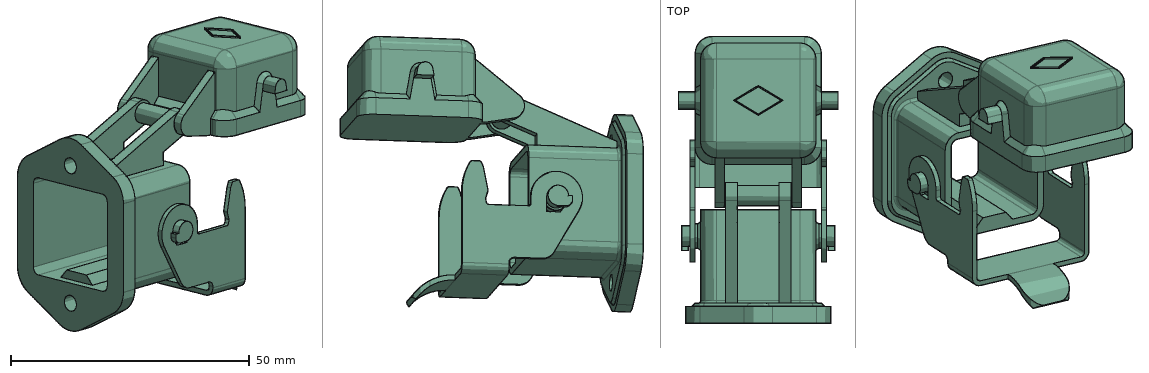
import cadquery as cq
import math


flange_thickness = 3.55
flange_half_width = 15.2
flange_half_height = 21.0
flange_round = 6.0
flange_slope = 30.0
step_height = 0.65
step_inset = 1.3
step_chamfer = 0.6
socket_end = 23.8
socket_width = 24.2
socket_height = 24.05
socket_round = 3.3
socket_foot_fillet = 0.6
opening_size = 21.2
opening_round = 1.45
screw_offset = flange_half_height - flange_round
screw_diameter = 3.4
key_start = 1.9
key_base = 9.0
key_top = 5.65
key_height = 1.9

hinge_y = 26.75
hinge_z = 20.15
arm_radius = 2.75
lid_arm_eye_shift = 0.25
rod_radius = 2.15
socket_arm_inner = 4.4
socket_arm_outer = 6.9
lid_arm_inner = 7.1
lid_arm_outer = 9.1
socket_arm_foot_y = 21.2
socket_arm_foot_z = 14.9
socket_arm_root_z = 13.65
lid_arm_root_z = 30.0
lid_arm_heel_y = 32.65

lid_y = 46.75
lid_bottom = 16.55
lid_top = 34.4
lid_width = socket_width
lid_depth = 24.05
lid_round = 3.35
lid_top_fillet = 3.3
skirt_width = 26.45
skirt_depth = 26.8
skirt_top = 20.1
skirt_round = 3.55
skirt_bevel_height = 2.0
skirt_bevel_width = 1.8
badge_length = 10.4
badge_width = 6.25
badge_rim = 0.55
badge_height = 0.3

lug_radius = 1.6
lug_axis_z = 25.8
lug_side_angle = 10.0
lug_flare = 0.8
lid_pin_bottom = 24.6
lid_pin_span = 33.5
lid_pin_end = lid_pin_span / 2

pivot_y = 18.3
pivot_radius = 2.15
pivot_end = 16.05
boss_radius = 2.6
boss_foot_radius = 3.0
boss_foot_height = 0.6
tab_start = 14.7
tab_reach = 3.05
tab_drop = 2.15
tab_round = 1.3
latch_outer = 14.3
sheet = 1.1
latch_inner = latch_outer - sheet
latch_bend = 2.0
eye_radius = 5.5
latch_back_y = 38.45
bridge_front_y = 28.45
latch_bottom = -16.7
latch_step_z = -13.25
latch_seat_z = -2.1
hook_tip_z = 7.15
hook_tip_back_y = 36.6
hook_tip_front_y = 34.45
hook_back_z = 0.6
hook_shoulder = (33.9, 5.9)
hook_nose = (32.9, 0.85)
hook_throat = (33.45, -0.9)
seat_end_y = 33.2
latch_heel_y = 19.65
latch_heel_fillet = 3.0
latch_step_fillet = 1.2
seat_fillet = 0.55
hook_fillet = 0.5
slot_depth = 3.2
slot_reach = 0.7
slot_lip = 1.5
tongue_bend = 9.9
tongue_angle = 54.0
tongue_half_width = 5.6
tongue_round = 3.6


def tangent_point(point, centre, radius, side):
    """Point where the line from `point` touches a circle; `side` is +1 or -1."""
    dy = point[0] - centre[0]
    dz = point[1] - centre[1]
    angle = math.atan2(dz, dy) - side * math.acos(radius / math.hypot(dy, dz))
    return (centre[0] + radius * math.cos(angle), centre[1] + radius * math.sin(angle))


def side_plane(x):
    """Work plane at constant X whose local axes are Y and Z."""
    return cq.Workplane("YZ", origin=(x, 0, 0))


def rounded_box(width, depth, height, radius, y, z):
    box = cq.Workplane("XY", origin=(0, y, z)).box(width, depth, height, (True, True, False))
    return box.edges("|Z").fillet(radius)


def flange_plate(inset, start, thickness):
    """Hexagonal plate with rounded tips, its outline moved in by `inset`."""
    slope = math.radians(flange_slope)
    half_width = flange_half_width - inset
    radius = flange_round - inset
    apex = screw_offset + radius / math.cos(slope)
    shoulder = apex - half_width * math.tan(slope)
    outline = [
        (0, apex), (half_width, shoulder), (half_width, -shoulder),
        (0, -apex), (-half_width, -shoulder), (-half_width, shoulder),
    ]
    plate = cq.Workplane("XZ", origin=(0, start, 0)).polyline(outline).close().extrude(-thickness)
    return plate.edges("|Y").fillet(radius)


def socket():
    step_face = flange_thickness + step_height
    step = flange_plate(step_inset, flange_thickness, step_height)
    step = step.faces(">Y").edges().chamfer(step_chamfer)
    shell = (
        cq.Workplane("XZ", origin=(0, step_face, 0))
        .rect(socket_width, socket_height)
        .extrude(step_face - socket_end)
        .edges("|Y")
        .fillet(socket_round)
    )
    body = step.union(shell)
    margin = step_height / 10
    half_width = socket_width / 2 + margin
    half_height = socket_height / 2 + margin
    foot = cq.selectors.BoxSelector(
        (-half_width, step_face - margin, -half_height), (half_width, step_face + margin, half_height)
    )
    body = body.edges(foot).fillet(socket_foot_fillet)
    return body.union(flange_plate(0, 0, flange_thickness))


def socket_openings():
    opening = (
        cq.Workplane("XZ")
        .rect(opening_size, opening_size)
        .extrude(-socket_end)
        .edges("|Y")
        .fillet(opening_round)
    )
    screw_holes = (
        cq.Workplane("XZ")
        .pushPoints([(0, screw_offset), (0, -screw_offset)])
        .circle(screw_diameter / 2)
        .extrude(-flange_thickness - step_height)
    )
    return opening.union(screw_holes)


def key():
    """Trapezoidal coding rib along the floor of the opening."""
    floor = -opening_size / 2
    outline = [
        (-key_base / 2, floor), (key_base / 2, floor),
        (key_top / 2, floor + key_height), (-key_top / 2, floor + key_height),
    ]
    return (
        cq.Workplane("XZ", origin=(0, key_start, 0))
        .polyline(outline)
        .close()
        .extrude(key_start - socket_end)
    )


def arm(inner, outer, side, eye_shift, root, heel, base_points):
    """Plate that tapers from a base to the hinge eye; `side` is +1 for a base towards -Y."""
    eye_centre = (hinge_y + eye_shift, hinge_z + eye_shift)
    upper = tangent_point(root, eye_centre, arm_radius, side)
    lower = tangent_point(heel, eye_centre, arm_radius, -side)
    web = side_plane(inner).polyline([eye_centre, upper, root, *base_points, heel, lower]).close()
    eye = side_plane(inner).center(*eye_centre).circle(arm_radius)
    return web.extrude(outer - inner).union(eye.extrude(outer - inner))


def socket_arm():
    root = (flange_thickness, socket_arm_root_z)
    heel = (socket_arm_foot_y, socket_arm_foot_z)
    inside_wall = (socket_height + opening_size) / 4
    base_points = [(flange_thickness, inside_wall), (socket_arm_foot_y, inside_wall)]
    return arm(socket_arm_inner, socket_arm_outer, 1, 0, root, heel, base_points)


def lid_arm():
    lid_front = lid_y - lid_depth / 2
    root = (lid_front, lid_arm_root_z)
    heel = (lid_arm_heel_y, lid_bottom)
    return arm(lid_arm_inner, lid_arm_outer, -1, lid_arm_eye_shift, root, heel, [(lid_front, lid_bottom)])


def hinge_rod():
    return side_plane(-lid_arm_outer).center(hinge_y, hinge_z).circle(rod_radius).extrude(2 * lid_arm_outer)


def lid():
    cap = rounded_box(lid_width, lid_depth, lid_top - badge_height - lid_bottom, lid_round, lid_y, lid_bottom)
    cap = cap.faces(">Z").edges().fillet(lid_top_fillet)
    skirt_height = skirt_top + skirt_bevel_height - lid_bottom
    skirt = rounded_box(skirt_width, skirt_depth, skirt_height, skirt_round, lid_y, lid_bottom)
    skirt = skirt.faces(">Z").edges().chamfer(skirt_bevel_height, skirt_bevel_width)
    return cap.union(skirt)


def badge():
    """Raised diamond-shaped rim on top of the lid."""
    def diamond(length, width):
        outline = [(length / 2, 0), (0, width / 2), (-length / 2, 0), (0, -width / 2)]
        plane = cq.Workplane("XY", origin=(0, lid_y, lid_top - badge_height))
        return plane.polyline(outline).close().extrude(badge_height)

    inner_width = badge_width - badge_rim
    inner_length = inner_width * badge_length / badge_width
    return diamond(badge_length, badge_width).cut(diamond(inner_length, inner_width))


def lug_outline(x):
    """Tapered outline with a round top, standing on the skirt of the lid."""
    slope = math.radians(lug_side_angle)
    half_base = lug_radius / math.cos(slope) + (lug_axis_z - skirt_top) * math.tan(slope)
    half_top = lug_radius * math.cos(slope)
    tangent_z = lug_axis_z + lug_radius * math.sin(slope)
    return (
        side_plane(x)
        .moveTo(lid_y - half_base, skirt_top)
        .lineTo(lid_y - half_top, tangent_z)
        .threePointArc((lid_y, lug_axis_z + lug_radius), (lid_y + half_top, tangent_z))
        .lineTo(lid_y + half_base, skirt_top)
        .close()
    )


def lid_pin():
    lug_face = skirt_width / 2
    lug_depth = (skirt_width - lid_width) / 2
    flare_angle = math.degrees(math.atan(lug_flare / lug_depth))
    lug = lug_outline(lug_face).extrude(-lug_depth, taper=-flare_angle)
    pin = lug_outline(lug_face).extrude(lid_pin_end - lug_face)
    below_pin = (
        side_plane(lug_face)
        .center(lid_y, (skirt_top + lid_pin_bottom) / 2)
        .rect(skirt_depth, lid_pin_bottom - skirt_top)
        .extrude(lid_pin_end - lug_face)
    )
    return lug.union(pin.cut(below_pin))


def pivot_pin():
    wall = socket_width / 2
    pin = side_plane(wall).center(pivot_y, 0).circle(pivot_radius).extrude(pivot_end - wall)
    boss = side_plane(wall).center(pivot_y, 0).circle(boss_radius).extrude(latch_inner - wall)
    flare = math.degrees(math.atan((boss_foot_radius - boss_radius) / boss_foot_height))
    foot = side_plane(wall).center(pivot_y, 0).circle(boss_foot_radius)
    foot = foot.extrude(boss_foot_height, taper=flare)
    tab = (
        side_plane(tab_start)
        .center(pivot_y - tab_reach / 2, -tab_drop / 2)
        .rect(tab_reach, tab_drop)
        .extrude(pivot_end - tab_start)
        .edges("|X and <Y and <Z")
        .fillet(tab_round)
    )
    return pin.union(boss).union(foot).union(tab)


def latch():
    """Bent sheet-metal lever: two side plates joined by a bridge with a finger tongue."""
    heel = (latch_heel_y, latch_step_z)
    eye_edge = pivot_y + eye_radius
    touch = tangent_point(heel, (pivot_y, 0), eye_radius, 1)
    plate = (
        side_plane(-latch_outer)
        .moveTo(latch_back_y, latch_bottom)
        .lineTo(latch_back_y, hook_back_z)
        .tangentArcPoint((hook_tip_back_y, hook_tip_z), relative=False)
        .lineTo(hook_tip_front_y, hook_tip_z)
        .lineTo(*hook_shoulder)
        .lineTo(*hook_nose)
        .lineTo(*hook_throat)
        .lineTo(seat_end_y, latch_seat_z)
        .lineTo(eye_edge, latch_seat_z)
        .lineTo(eye_edge, 0)
        .lineTo(pivot_y, 0)
        .lineTo(*touch)
        .lineTo(*heel)
        .lineTo(bridge_front_y, latch_step_z)
        .lineTo(bridge_front_y, latch_bottom)
        .close()
        .extrude(2 * latch_outer)
    )
    rounded_corners = (
        (hook_tip_back_y, hook_tip_z, hook_fillet),
        (hook_tip_front_y, hook_tip_z, hook_fillet),
        (*hook_nose, hook_fillet),
        (seat_end_y, latch_seat_z, seat_fillet),
        (eye_edge, latch_seat_z, seat_fillet),
        (*heel, latch_heel_fillet),
        (bridge_front_y, latch_step_z, latch_step_fillet),
    )
    for y, z, radius in rounded_corners:
        corner = cq.selectors.NearestToPointSelector((0, y, z))
        plate = plate.edges(corner).fillet(radius)
    plate = plate.faces("<Z").edges("|Y").fillet(latch_bend)
    eye = side_plane(-latch_outer).center(pivot_y, 0).circle(eye_radius).extrude(2 * latch_outer)
    inside = (
        cq.Workplane("XY", origin=(0, latch_back_y, latch_bottom + sheet))
        .box(2 * latch_inner, 2 * latch_back_y, hook_tip_z - latch_bottom, (True, True, False))
        .faces("<Z")
        .edges("|Y")
        .fillet(latch_bend - sheet)
    )
    slot = (
        side_plane(-latch_outer)
        .polyline([
            (pivot_y + pivot_radius, 0), (pivot_y + pivot_radius, -slot_depth),
            (pivot_y - slot_reach, -slot_depth), (pivot_y - slot_lip, -tab_drop), (pivot_y, 0),
        ])
        .close()
        .extrude(2 * latch_outer)
    )
    return plate.union(eye).cut(inside).cut(slot).union(tongue())


def tongue():
    bend = math.radians(tongue_angle)
    centre_z = latch_bottom - tongue_bend

    def on_arc(radius, angle):
        return (latch_back_y + radius * math.sin(angle), centre_z + radius * math.cos(angle))

    outer = tongue_bend + sheet
    tip_y = on_arc(outer, bend)[0]
    strip = (
        side_plane(-tongue_half_width)
        .moveTo(*on_arc(tongue_bend, 0))
        .threePointArc(on_arc(tongue_bend, bend / 2), on_arc(tongue_bend, bend))
        .lineTo(*on_arc(outer, bend))
        .threePointArc(on_arc(outer, bend / 2), on_arc(outer, 0))
        .close()
        .extrude(2 * tongue_half_width)
    )
    rounded_plan = (
        cq.Workplane("XY", origin=(0, (tip_y + latch_back_y) / 2, centre_z))
        .rect(2 * tongue_half_width, tip_y - latch_back_y)
        .extrude(outer)
        .edges("|Z and >Y")
        .fillet(tongue_round)
    )
    return strip.intersect(rounded_plan)


result = socket().cut(socket_openings()).union(key())
result = result.union(hinge_rod()).union(lid()).union(badge()).union(latch())
for feature in (socket_arm(), lid_arm(), lid_pin(), pivot_pin()):
    result = result.union(feature).union(feature.mirror("YZ"))